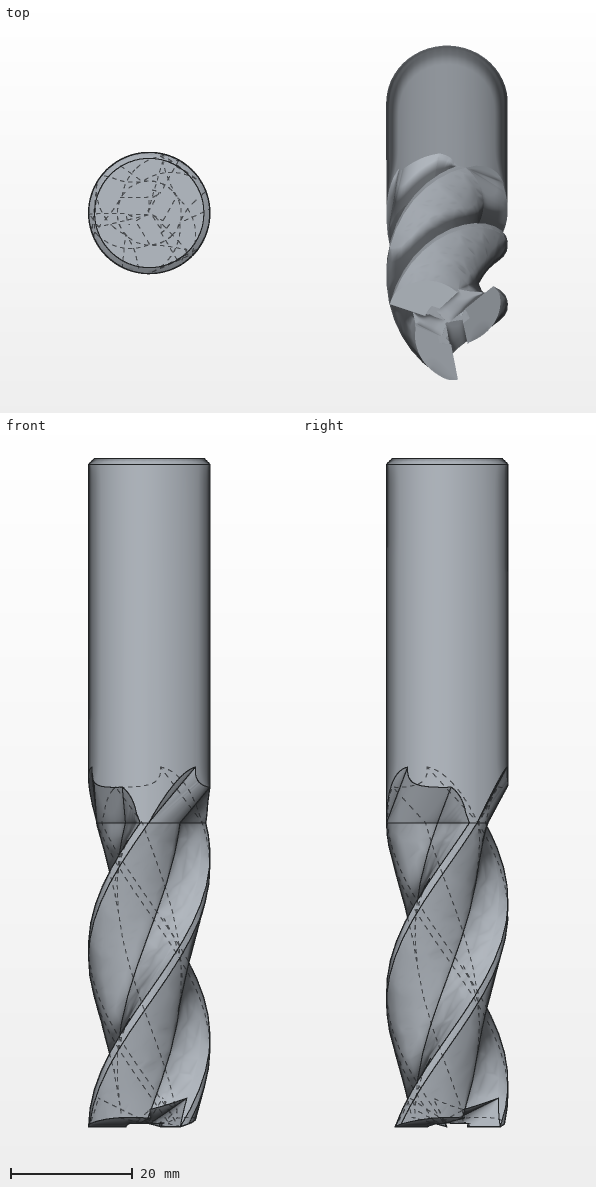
import cadquery as cq
import math

diameter = 20.0
overall_length = 110.0
cutting_length = 50.0
shank_chamfer = 1.0
teeth = 3
helix_angle = 35.0

radius = diameter / 2
tooth_pitch = 360.0 / teeth
lead = math.pi * diameter / math.tan(math.radians(helix_angle))
twist = 360.0 * cutting_length / lead

tip_edge_angle = 60.8
land_angle = 8.0
back_middle_radius = 7.2
back_middle_angle = 46.0
heel_radius = 5.3
heel_angle = 81.0
gullet_middle_radius = 6.1
gullet_middle_angle = 102.0
rake_root_radius = 8.6
rake_root_angle = 115.5
edge_angles = [tip_edge_angle + i * tooth_pitch for i in range(teeth)]

runout_height = 20.0
runout_slope = 0.92
runout_direction = 3.0
wall_lean = 17.0
wall_reach = 8.0

end_relief_angle = 15.0
recess_radius = 3.8
recess_depth = 0.5
gash_root_height = 0.6
gash_width = 2.6
gash_rake_angle = 25.0
gash_root_angle = 26.0


def polar(distance, angle):
    a = math.radians(angle)
    return (distance * math.cos(a), distance * math.sin(a))


def flute_outline(sketch, edge_angle):
    """Back, gullet and rake face from the end of one land to the next cutting edge."""
    return (
        sketch
        .threePointArc(
            polar(back_middle_radius, edge_angle + back_middle_angle),
            polar(heel_radius, edge_angle + heel_angle),
        )
        .threePointArc(
            polar(gullet_middle_radius, edge_angle + gullet_middle_angle),
            polar(rake_root_radius, edge_angle + rake_root_angle),
        )
        .lineTo(*polar(radius, edge_angle + tooth_pitch))
    )


def fluted_bar():
    """Twisted bar with the land and flute outline repeated for every tooth."""
    sketch = cq.Workplane("XY").moveTo(*polar(radius, tip_edge_angle))
    for edge_angle in edge_angles:
        sketch = sketch.threePointArc(
            polar(radius, edge_angle + land_angle / 2),
            polar(radius, edge_angle + land_angle),
        )
        sketch = flute_outline(sketch, edge_angle)
    return sketch.close().twistExtrude(cutting_length, twist)


def end_relief(edge_angle):
    """Wedge below the sloping end face behind one end cutting edge."""
    height = diameter * math.tan(math.radians(end_relief_angle))
    return (
        cq.Workplane("YZ", origin=(-recess_radius / 2, 0, 0))
        .polyline([(0, 0), (diameter, 0), (diameter, height)])
        .close()
        .extrude(diameter)
        .rotate((0, 0, 0), (0, 0, 1), edge_angle)
    )


def gash(edge_angle):
    """Notch ahead of one end cutting edge: leaning rake face under a sloping floor."""
    lean = diameter * math.tan(math.radians(gash_rake_angle))
    ahead_of_rake = (
        cq.Workplane("YZ")
        .polyline([(0, 0), (lean, diameter), (-gash_width, diameter), (-gash_width, 0)])
        .close()
        .extrude(diameter)
    )
    below_floor = (
        cq.Workplane("XY")
        .box(2 * diameter, 2 * diameter, diameter, centered=(True, True, False))
        .translate((0, 0, -diameter))
        .rotate((0, 0, 0), (0, 1, 0), -gash_root_angle)
        .translate((0, 0, gash_root_height))
    )
    return ahead_of_rake.intersect(below_floor).rotate((0, 0, 0), (0, 0, 1), edge_angle)


def runout(edge_angle):
    """Straight continuation of one flute, leaving the shank sideways."""
    next_edge_angle = edge_angle + tooth_pitch
    reach = radius + wall_reach
    sketch = cq.Workplane("XY").moveTo(*polar(radius, edge_angle + land_angle))
    outline = (
        flute_outline(sketch, edge_angle)
        .lineTo(*polar(reach, next_edge_angle))
        .threePointArc(
            polar(reach, edge_angle + tooth_pitch / 2),
            polar(reach, edge_angle + land_angle - wall_lean),
        )
        .close()
    )
    travel = polar(runout_height * runout_slope, edge_angle + tooth_pitch + runout_direction)
    return cq.Workplane(
        cq.Solid.extrudeLinear(outline.val(), [], cq.Vector(*travel, runout_height))
    ).translate((0, 0, cutting_length))


def make_cutter():
    """Fluted cutting part with its end teeth."""
    tip_recess = cq.Workplane("XY").circle(recess_radius).extrude(recess_depth)
    body = fluted_bar().cut(tip_recess)
    for edge_angle in edge_angles:
        body = body.cut(end_relief(edge_angle)).cut(gash(edge_angle))
    return body


def make_shank():
    """Plain shank on top of the cutter, with the flutes running out at its lower end."""
    body = (
        cq.Workplane("XY", origin=(0, 0, cutting_length))
        .circle(radius)
        .extrude(overall_length - cutting_length)
        .faces(">Z")
        .chamfer(shank_chamfer)
    )
    for edge_angle in edge_angles:
        body = body.cut(runout(edge_angle + twist))
    return body


cutter = make_cutter()
shank = make_shank()

result = cq.Compound.makeCompound([cutter.solids().val(), shank.solids().val()])